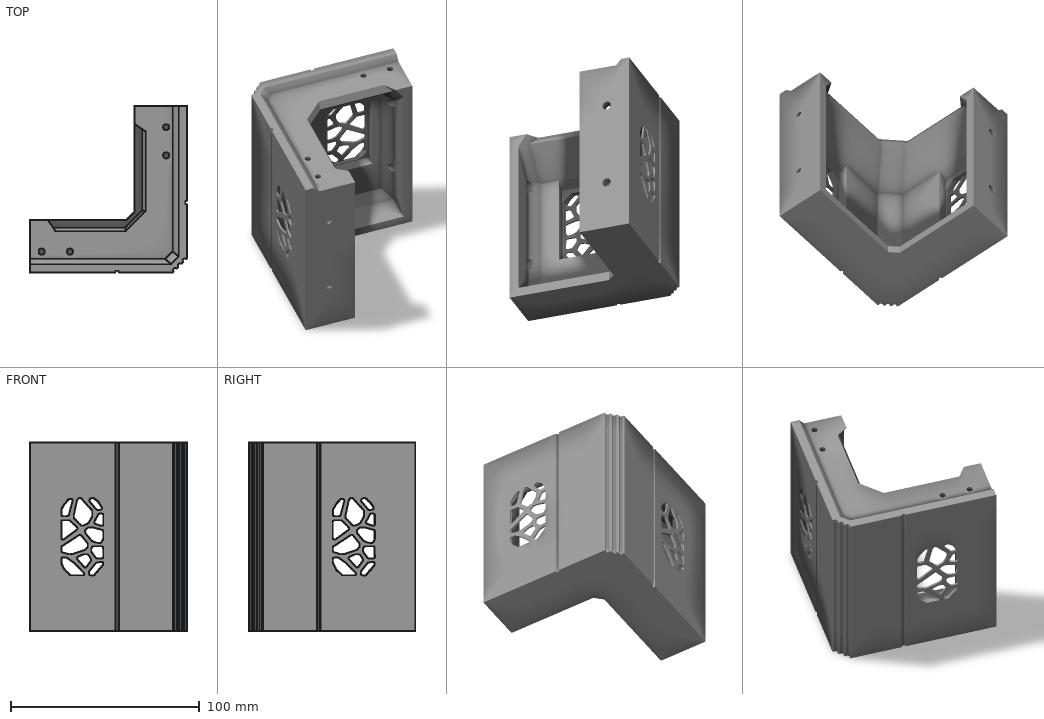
import cadquery as cq
import math

X_ARM_LENGTH = 83.5
Y_ARM_LENGTH = 88.5
HEIGHT = 100.0
ARM_DEPTH = 28.0
INNER_CHAMFER = 4.3
OUTER_CHAMFER = 7.8

LEDGE_Z = 96.7
X_LIP_TOP = 4.6
X_LIP_BASE = 7.3
Y_LIP_TOP = X_LIP_TOP
Y_LIP_BASE = 7.8
LIP_CORNER_TOP_SUM = 13.2
LIP_CORNER_BASE_SUM = 19.1

END_WALL = 5.0
BOTTOM_WALL = 5.0
OUTER_WALL = 8.0
FLOOR_CHAMFER = 5.0
CORNER_WALL_SUM = 25.3
CEILING_RIM_Z = LEDGE_Z
CEILING_CORNER_DROP = 6.4
CEILING_DIAGONAL_SUM = 56.6
OPENING_TOP_DEPTH = 21.9
OPENING_LOW_DEPTH = 23.9
OPENING_TOP_SUM = 54.8
OPENING_LOW_SUM = 56.9

WINDOW_REACH = 55.6
WINDOW_Z = 50.0
RECESS_WIDTH = 25.2
RECESS_BOTTOM = -20.8
RECESS_TOP = 23.0
RECESS_CEILING_RISE = 3.6
RECESS_FLOOR = 3.2
STEP_FLOOR = 2.6
FRAME_FLOOR = 1.6
GRILLE_THICKNESS = 1.0
FRAME_WIDTH = 22.9
FRAME_HEIGHT = 40.8
STEP_TOP = FRAME_HEIGHT / 2
STEP_CORNER = 5.3
FRAME_CORNER = 4.5
THROAT_WIDTH = 22.0
CELL_REACH = 55.8
CELL_ROUND = 0.8
CELLS = [
    [(-11.1, 11.0), (-10.9, 14.5), (-9.2, 17.4), (-6.7, 20.0), (-4.8, 20.0), (-7.2, 11.0)],
    [
        (-2.6, 19.4), (-1.2, 21.1), (5.4, 13.8), (5.4, 10.9), (3.3, 7.1),
        (0.3, 5.8), (-0.5, 6.0), (-4.3, 10.0), (-4.3, 11.5),
    ],
    [(3.5, 19.4), (5.6, 20.8), (8.5, 18.6), (11.1, 14.5), (7.9, 14.2)],
    [(8.8, 12.2), (11.3, 12.2), (11.3, 5.8), (9.7, 6.0), (6.2, 7.2)],
    [
        (1.5, 3.4), (3.3, 4.9), (5.8, 4.9), (11.3, 3.4), (11.3, -1.0),
        (10.0, -3.3), (7.6, -3.1), (5.2, -2.2), (2.0, 1.7),
    ],
    [(5.6, -5.1), (11.1, -5.1), (11.3, -11.4), (7.5, -11.4), (5.0, -8.0), (5.0, -6.2)],
    [(4.0, -20.5), (3.7, -18.5), (7.5, -13.8), (11.1, -13.2), (11.1, -14.9), (6.1, -20.6)],
    [(-3.2, -11.1), (0.6, -9.4), (3.3, -9.4), (5.0, -12.4), (1.8, -16.7)],
    [
        (-11.1, -11.1), (-8.2, -11.1), (-4.3, -13.8), (1.1, -19.3),
        (1.1, -20.5), (-5.9, -20.5), (-9.3, -17.3), (-11.0, -13.8),
    ],
    [(-11.1, 8.7), (-6.5, 8.7), (-2.0, 4.3), (-10.0, -1.6), (-11.1, -1.0)],
    [
        (-11.1, -5.4), (-0.9, 1.3), (3.0, -3.6), (3.0, -5.3),
        (1.8, -6.8), (-4.9, -9.1), (-7.0, -9.2), (-11.1, -8.0),
    ],
]

TOP_HOLE_DIAMETER = 3.3
TOP_HOLE_LENGTH = 10.0
TOP_HOLE_DEPTH = 11.2
TOP_HOLE_REACHES = (62.2, 77.2)
X_END_HOLE_DIAMETER = 4.7
Y_END_HOLE_DIAMETER = 3.2
Y_END_BORE_DIAMETER = 6.0
Y_END_BORE_START = 3.4
X_END_HOLE_DEPTH = 12.8
Y_END_HOLE_DEPTH = 13.2
END_HOLE_HEIGHTS = (27.2, 73.4)
END_HOLE_LENGTH = 12.0

GROOVE_REACH = 37.2
GROOVE_MOUTH = 2.2
GROOVE_FLOOR = 1.2
GROOVE_DEPTH = 1.0
CORNER_GROOVE_COUNT = 3
CORNER_GROOVE_PITCH = 3.6

BIG = 400.0


def beyond(point, normal):
    """Large block filling the space on the normal's side of a plane."""
    return cq.Workplane(cq.Plane(origin=point, normal=normal)).rect(BIG, BIG).extrude(BIG)


def trim(solid, planes):
    """Remove from a solid everything beyond each (point, normal) plane."""
    for point, normal in planes:
        solid = solid.cut(beyond(point, normal))
    return solid


def block(x_range, y_range, z_range):
    """Box between the given coordinate limits."""
    sizes = [high - low for low, high in (x_range, y_range, z_range)]
    return cq.Workplane().box(*sizes, centered=False).translate((x_range[0], y_range[0], z_range[0]))


def make_body():
    """L-shaped block with a chamfered inner and outer corner."""
    outline = [
        (-OUTER_CHAMFER, 0),
        (-X_ARM_LENGTH, 0),
        (-X_ARM_LENGTH, ARM_DEPTH),
        (-ARM_DEPTH - INNER_CHAMFER, ARM_DEPTH),
        (-ARM_DEPTH, ARM_DEPTH + INNER_CHAMFER),
        (-ARM_DEPTH, Y_ARM_LENGTH),
        (0, Y_ARM_LENGTH),
        (0, OUTER_CHAMFER),
    ]
    return cq.Workplane().polyline(outline).close().extrude(HEIGHT)


def make_ledge():
    """Space above the ledge, bounded outward by the sloped lip faces."""
    rise = HEIGHT - LEDGE_Z
    corner_lean = LIP_CORNER_BASE_SUM - LIP_CORNER_TOP_SUM
    space = block((-BIG, 0), (0, BIG), (LEDGE_Z, HEIGHT))
    planes = [
        ((0, X_LIP_BASE, LEDGE_Z), (0, -rise, -(X_LIP_BASE - X_LIP_TOP))),
        ((-Y_LIP_BASE, 0, LEDGE_Z), (rise, 0, -(Y_LIP_BASE - Y_LIP_TOP))),
        ((0, LIP_CORNER_BASE_SUM, LEDGE_Z), (rise, -rise, -corner_lean)),
    ]
    return trim(space, planes)


def cavity_room():
    """Box-shaped room of the cavity with its chamfered floor edges, below any ceiling."""
    room = block((-BIG, -OUTER_WALL), (OUTER_WALL, BIG), (BOTTOM_WALL, HEIGHT))
    x_end = -X_ARM_LENGTH + END_WALL
    y_end = Y_ARM_LENGTH - END_WALL
    edge = OUTER_WALL + FLOOR_CHAMFER
    slant = math.sqrt(2)
    corner_z = CEILING_RIM_Z - CEILING_CORNER_DROP
    planes = [
        ((x_end, 0, 0), (-1, 0, 0)),
        ((0, y_end, 0), (0, 1, 0)),
        ((0, CORNER_WALL_SUM, 0), (1, -1, 0)),
        ((0, edge, BOTTOM_WALL), (0, -1, -1)),
        ((-edge, 0, BOTTOM_WALL), (1, 0, -1)),
        ((0, CORNER_WALL_SUM + slant * FLOOR_CHAMFER, BOTTOM_WALL), (1, -1, -slant)),
        ((x_end, edge, 0), (-1, -1, 0)),
        ((-edge, y_end, 0), (1, 1, 0)),
        ((x_end, ARM_DEPTH, corner_z), (-slant, -1, 1)),
        ((-ARM_DEPTH, y_end, corner_z), (1, slant, 1)),
    ]
    return trim(room, planes)


def make_cavity():
    """Cavity under 45 degree ceilings, joined to its opening in the top."""
    ceiling_drop = CEILING_RIM_Z - (ARM_DEPTH - OPENING_LOW_DEPTH)
    diagonal_point = (0, CEILING_DIAGONAL_SUM, ceiling_drop)
    under_ceiling = trim(
        cavity_room(),
        [
            ((0, ARM_DEPTH, CEILING_RIM_Z), (0, -1, 1)),
            ((-ARM_DEPTH, 0, CEILING_RIM_Z), (1, 0, 1)),
            (diagonal_point, (1, -1, 2)),
        ],
    )
    rise = LEDGE_Z - ceiling_drop
    lean = OPENING_LOW_DEPTH - OPENING_TOP_DEPTH
    diagonal_lean = OPENING_LOW_SUM - OPENING_TOP_SUM
    opening = trim(
        cavity_room(),
        [
            ((0, OPENING_TOP_DEPTH, LEDGE_Z), (0, -rise, -lean)),
            ((-OPENING_TOP_DEPTH, 0, LEDGE_Z), (rise, 0, -lean)),
            ((0, OPENING_TOP_SUM, LEDGE_Z), (rise, -rise, -diagonal_lean)),
        ],
    )
    return under_ceiling.union(opening)


def outline_prism(points, start, end):
    """Prism from an outline in the XZ plane, reaching in Y from start to end."""
    plane = cq.Plane(origin=(0, start, 0), xDir=(1, 0, 0), normal=(0, -1, 0))
    return cq.Workplane(plane).polyline(points).close().extrude(start - end)


def octagon(width, height, corner):
    """Corner points of a rectangle with 45 degree corners, centred on the origin."""
    half_width = width / 2
    half_height = height / 2
    quarter = [(half_width, half_height - corner), (half_width - corner, half_height)]
    top = quarter + [(-x, z) for x, z in reversed(quarter)]
    return top + [(-x, -z) for x, z in top]


def make_window():
    """Window tool for a wall whose outer face is y = 0, centred on the Y axis."""
    half_width = RECESS_WIDTH / 2
    recess_profile = [
        (RECESS_FLOOR, RECESS_BOTTOM),
        (OUTER_WALL, RECESS_BOTTOM),
        (OUTER_WALL, RECESS_TOP + RECESS_CEILING_RISE),
        (RECESS_FLOOR, RECESS_TOP),
    ]
    recess = cq.Workplane("YZ").polyline(recess_profile).close().extrude(half_width, both=True)
    step = [
        (-half_width, RECESS_BOTTOM),
        (half_width, RECESS_BOTTOM),
        (half_width, STEP_TOP - STEP_CORNER),
        (half_width - STEP_CORNER, STEP_TOP),
        (STEP_CORNER - half_width, STEP_TOP),
        (-half_width, STEP_TOP - STEP_CORNER),
    ]
    frame = octagon(FRAME_WIDTH, FRAME_HEIGHT, FRAME_CORNER)
    throat = octagon(THROAT_WIDTH, FRAME_HEIGHT, FRAME_CORNER)
    window = recess.union(outline_prism(step, STEP_FLOOR, RECESS_FLOOR))
    window = window.union(outline_prism(frame, FRAME_FLOOR, STEP_FLOOR))
    window = window.union(outline_prism(throat, GRILLE_THICKNESS, FRAME_FLOOR))
    return window


def make_cell(outline):
    """Rounded grille opening for a wall whose outer face is y = 0."""
    return outline_prism(outline, 0, GRILLE_THICKNESS).edges("|Y").fillet(CELL_ROUND)


def groove_tool():
    """Full-height groove into a face at y = 0, centred on the Z axis."""
    mouth = GROOVE_MOUTH / 2
    floor = GROOVE_FLOOR / 2
    profile = [(-mouth, 0), (mouth, 0), (floor, GROOVE_DEPTH), (-floor, GROOVE_DEPTH)]
    return cq.Workplane().polyline(profile).close().extrude(HEIGHT)


def cylinder(point, direction, diameter, length):
    """Round hole tool starting at a point."""
    return cq.Workplane(cq.Plane(origin=point, normal=direction)).circle(diameter / 2).extrude(length)


def on_both_arms(tool, reach, z=0):
    """Place a tool made for a wall at y = 0 at the same reach on both arms."""
    on_x_arm = tool.translate((-reach, 0, z))
    on_y_arm = tool.rotate((0, 0, 0), (0, 0, 1), 90).translate((0, reach, z))
    return [on_x_arm, on_y_arm]


def corner_grooves():
    """Row of grooves across the chamfered outer corner."""
    tools = []
    for index in range(CORNER_GROOVE_COUNT):
        offset = (index - (CORNER_GROOVE_COUNT - 1) / 2) * CORNER_GROOVE_PITCH
        tool = groove_tool()
        tool = tool.translate((offset, 0, 0)).rotate((0, 0, 0), (0, 0, 1), 45)
        tools.append(tool.translate((-OUTER_CHAMFER / 2, OUTER_CHAMFER / 2, 0)))
    return tools


def hole_tools():
    """Blind holes in the ledge, and end wall holes that run into the cavity."""
    tools = []
    for reach in TOP_HOLE_REACHES:
        for point in ((-reach, TOP_HOLE_DEPTH, LEDGE_Z), (-TOP_HOLE_DEPTH, reach, LEDGE_Z)):
            tools.append(cylinder(point, (0, 0, -1), TOP_HOLE_DIAMETER, TOP_HOLE_LENGTH))
    bore_length = END_HOLE_LENGTH - Y_END_BORE_START
    for z in END_HOLE_HEIGHTS:
        x_end = (-X_ARM_LENGTH, X_END_HOLE_DEPTH, z)
        y_end = (-Y_END_HOLE_DEPTH, Y_ARM_LENGTH, z)
        y_bore = (-Y_END_HOLE_DEPTH, Y_ARM_LENGTH - Y_END_BORE_START, z)
        tools.append(cylinder(x_end, (1, 0, 0), X_END_HOLE_DIAMETER, END_HOLE_LENGTH))
        tools.append(cylinder(y_end, (0, -1, 0), Y_END_HOLE_DIAMETER, END_HOLE_LENGTH))
        tools.append(cylinder(y_bore, (0, -1, 0), Y_END_BORE_DIAMETER, bore_length))
    return tools


cutters = [make_ledge(), make_cavity()]
cutters += on_both_arms(make_window(), WINDOW_REACH, WINDOW_Z)
for cell in CELLS:
    cutters += on_both_arms(make_cell(cell), CELL_REACH, WINDOW_Z)
cutters += on_both_arms(groove_tool(), GROOVE_REACH)
cutters += corner_grooves()
cutters += hole_tools()

result = make_body()
for cutter in cutters:
    result = result.cut(cutter)